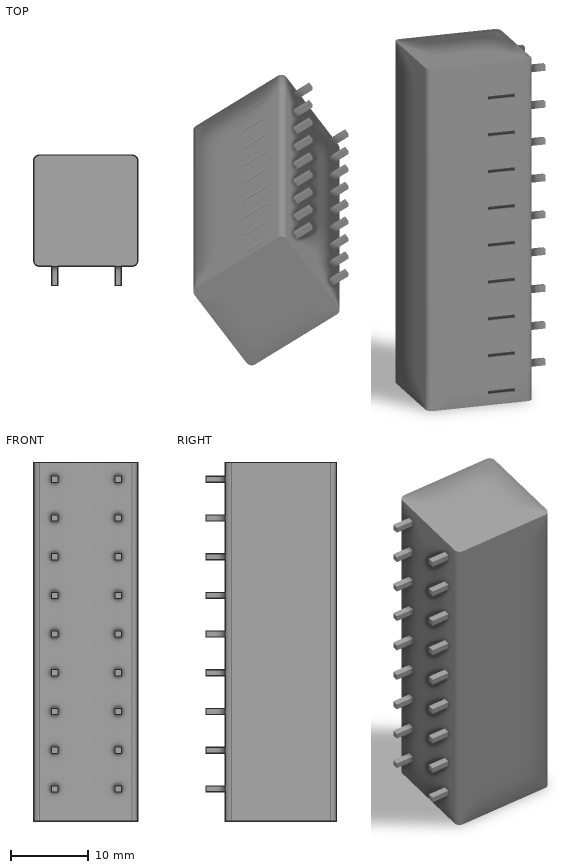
import cadquery as cq

body_width = 13.5
body_depth = 14.4
body_height = 46.4
corner_radius = 0.8

pin_rows = 9
row_pitch = 5.0
pin_size = 0.8
pin_length = 2.5
pin_column_spacing = 8.2
first_column_inset = 2.75
first_row_height = 4.2

slot_height = 0.55
slot_length = 3.7
slot_depth = 0.6
slot_inset = 2.5
slot_floor_drop = 0.3
first_slot_floor = first_row_height - row_pitch / 2 - slot_floor_drop

left_face = -body_width / 2
front_face = -body_depth / 2


def row_heights(first_height):
    return [first_height + row * row_pitch for row in range(pin_rows)]


def make_body():
    block = cq.Workplane("XY").box(body_width, body_depth, body_height, centered=(True, True, False))
    return block.edges("|Z").fillet(corner_radius)


def make_pin(x, z):
    root = pin_size
    pin = cq.Workplane("XY").box(pin_size, pin_length + root, pin_size, centered=(True, False, True))
    return pin.translate((x, front_face - pin_length, z))


def make_slot(floor):
    profile = [
        (left_face, floor),
        (left_face, floor + slot_height),
        (left_face + slot_depth, floor),
    ]
    near_end = front_face + slot_inset
    return cq.Workplane("XZ", origin=(0, near_end, 0)).polyline(profile).close().extrude(-slot_length)


first_column = left_face + first_column_inset
result = make_body()
for x in (first_column, first_column + pin_column_spacing):
    for z in row_heights(first_row_height):
        result = result.union(make_pin(x, z))
for floor in row_heights(first_slot_floor):
    result = result.cut(make_slot(floor))